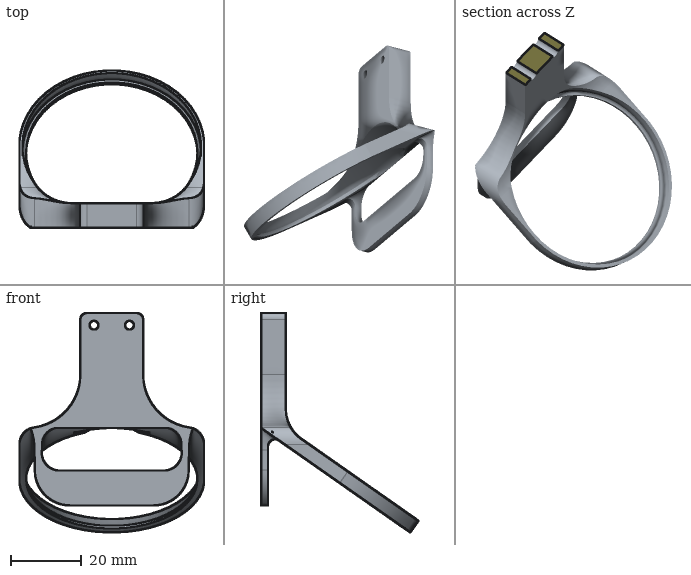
import cadquery as cq
import math

width = 52.25
depth = 44.5
height = 62.05
half_width = width / 2

plate_thickness = 7.0
stem_width = 17.8
stem_half_width = stem_width / 2
stem_corner_radius = 1.85
shoulder_radius = 15.0
shoulder_start_z = 44.6
outer_corner_radius = 4.95
screw_hole_diameter = 2.4
screw_hole_spacing = 10.0
screw_hole_drop = 3.5

tilt_degrees = 35.0
tilt = math.radians(tilt_degrees)
band_thickness = 4.05
seat_diameter = 50.5
ring_radius = 26.2
seat_depth = 3.1
bore_diameter = 48.4
back_fillet_radius = 10.25

front_thickness = 2.0
front_half_width = 21.8
front_bottom_z = 7.6
front_corner_radius = 10.0
flare_start_z = 23.25
flare_half_width = 22.95
under_fillet_radius = 2.0
slot_width = 39.45
slot_bottom_z = 17.55
slot_top_z = 29.65
slot_corner_radius = 4.95

slope = math.tan(tilt)
tip_bottom_y = depth - band_thickness * math.sin(tilt)
tip_top_z = band_thickness * math.cos(tilt)
ring_center_y = depth - ring_radius * math.cos(tilt)
ring_center_z = tip_top_z + ring_radius * math.sin(tilt)
reach = 2 * height


def top_face_z(y):
    return tip_top_z + (depth - y) * slope


def underside_z(y):
    return (tip_bottom_y - y) * slope


def extrude_across(sketch, half_length):
    """Extrude a YZ outline to both sides of the middle plane."""
    return sketch.extrude(half_length, both=True)


def tilted_plane(normal_offset=0.0):
    """Plane parallel to the ring's top face, centred on the ring axis, local y toward the tip."""
    return cq.Plane(
        origin=(
            0,
            ring_center_y + normal_offset * math.sin(tilt),
            ring_center_z + normal_offset * math.cos(tilt),
        ),
        xDir=(1, 0, 0),
        normal=(0, math.sin(tilt), math.cos(tilt)),
    )


def make_side_body():
    """Upright plate and sloping band as one bent bar, with a fillet behind the bend."""
    tangent = back_fillet_radius * math.tan((math.pi / 2 - tilt) / 2)
    bend_z = top_face_z(plate_thickness)
    arc_end_y = plate_thickness + tangent * math.cos(tilt)
    center_y = plate_thickness + back_fillet_radius
    center_z = bend_z + tangent
    mid_angle = (math.pi / 2 - tilt) / 2
    arc_mid = (
        center_y - back_fillet_radius * math.cos(mid_angle),
        center_z - back_fillet_radius * math.sin(mid_angle),
    )
    outline = (
        cq.Workplane("YZ")
        .moveTo(0, height)
        .lineTo(plate_thickness, height)
        .lineTo(plate_thickness, center_z)
        .threePointArc(arc_mid, (arc_end_y, top_face_z(arc_end_y)))
        .lineTo(depth, tip_top_z)
        .lineTo(tip_bottom_y, 0)
        .lineTo(0, underside_z(0))
        .close()
    )
    return extrude_across(outline, half_width)


def make_front_outline():
    """Stem that sweeps out through concave shoulders to the full width."""
    shoulder_x = stem_half_width + shoulder_radius
    corner_x = half_width - outer_corner_radius
    center_distance = shoulder_radius + outer_corner_radius
    corner_z = shoulder_start_z - math.sqrt(center_distance**2 - (shoulder_x - corner_x) ** 2)
    lean = math.atan2(shoulder_x - corner_x, shoulder_start_z - corner_z)
    join = (
        corner_x + outer_corner_radius * math.sin(lean),
        corner_z + outer_corner_radius * math.cos(lean),
    )
    corner_mid_angle = (lean + math.pi / 2) / 2
    corner_mid = (
        corner_x + outer_corner_radius * math.sin(corner_mid_angle),
        corner_z + outer_corner_radius * math.cos(corner_mid_angle),
    )
    shoulder_mid_angle = (math.pi / 2 + lean) / 2
    shoulder_mid = (
        shoulder_x - shoulder_radius * math.sin(shoulder_mid_angle),
        shoulder_start_z - shoulder_radius * math.cos(shoulder_mid_angle),
    )
    half = (
        cq.Workplane("XZ")
        .moveTo(0, height)
        .lineTo(stem_half_width, height)
        .lineTo(stem_half_width, shoulder_start_z)
        .threePointArc(shoulder_mid, join)
        .threePointArc(corner_mid, (half_width, corner_z))
        .lineTo(half_width, 0)
        .lineTo(0, 0)
        .close()
        .extrude(-depth)
    )
    stem = half.union(half.mirror("YZ"))
    return stem.edges("|Y").edges(">Z").fillet(stem_corner_radius)


def make_tip_outline():
    """Straight-sided prism with a round end, square to the tilted band."""
    side_start = math.sqrt(ring_radius**2 - half_width**2)
    return (
        cq.Workplane(tilted_plane(-height))
        .moveTo(-half_width, -reach)
        .lineTo(-half_width, side_start)
        .threePointArc((0, ring_radius), (half_width, side_start))
        .lineTo(half_width, -reach)
        .close()
        .extrude(2 * reach)
    )


def cut_ring_opening(body):
    """Stepped opening: a seat open to the top, a smaller bore below, no ledge over the front plate."""
    bore = cq.Workplane(tilted_plane(-band_thickness)).circle(bore_diameter / 2).extrude(reach)
    seat = cq.Workplane(tilted_plane(-seat_depth)).circle(seat_diameter / 2).extrude(reach)
    front_zone = cq.Workplane("XY").box(width, front_thickness, height, centered=(True, False, False))
    ledge_relief = (
        cq.Workplane(tilted_plane(-band_thickness))
        .circle(seat_diameter / 2)
        .extrude(band_thickness)
        .intersect(front_zone)
    )
    return body.cut(bore).cut(seat).cut(ledge_relief)


def make_slot():
    return (
        cq.Workplane("XZ")
        .center(0, (slot_bottom_z + slot_top_z) / 2)
        .rect(slot_width, slot_top_z - slot_bottom_z)
        .extrude(-depth)
        .edges("|Y")
        .fillet(slot_corner_radius)
    )


def make_front_plate():
    """Thin plate hanging below the band, flared and filleted where it meets the underside."""
    tangent = under_fillet_radius / math.tan((math.pi / 2 - tilt) / 2)
    corner_z = underside_z(front_thickness)
    arc_end_y = front_thickness + tangent * math.cos(tilt)
    center_y = front_thickness + under_fillet_radius
    center_z = corner_z - tangent
    mid_angle = (math.pi / 2 + tilt) / 2
    arc_mid = (
        center_y - under_fillet_radius * math.cos(mid_angle),
        center_z + under_fillet_radius * math.sin(mid_angle),
    )
    side = (
        cq.Workplane("YZ")
        .moveTo(0, front_bottom_z)
        .lineTo(front_thickness, front_bottom_z)
        .lineTo(front_thickness, center_z)
        .threePointArc(arc_mid, (arc_end_y, underside_z(arc_end_y)))
        .lineTo(0, underside_z(0))
        .close()
    )
    half_face = (
        cq.Workplane("XZ")
        .moveTo(0, front_bottom_z)
        .lineTo(front_half_width - front_corner_radius, front_bottom_z)
        .radiusArc((front_half_width, front_bottom_z + front_corner_radius), -front_corner_radius)
        .lineTo(front_half_width, flare_start_z)
        .tangentArcPoint((flare_half_width, underside_z(0)), relative=False)
        .lineTo(0, underside_z(0))
        .close()
        .extrude(-depth)
    )
    face = half_face.union(half_face.mirror("YZ"))
    return extrude_across(side, half_width).intersect(face)


def make_screw_holes():
    return (
        cq.Workplane("XZ")
        .pushPoints([(side * screw_hole_spacing / 2, height - screw_hole_drop) for side in (-1, 1)])
        .circle(screw_hole_diameter / 2)
        .extrude(-plate_thickness)
    )


body = make_side_body().intersect(make_front_outline()).intersect(make_tip_outline())
body = cut_ring_opening(body)
front_plate = make_front_plate().cut(make_slot())

result = body.union(front_plate).cut(make_screw_holes())